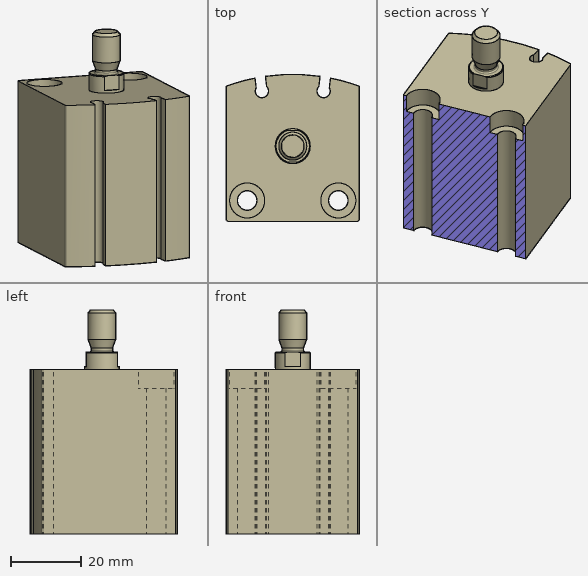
import cadquery as cq
import math

width = 38.0
depth = 42.0
height = 47.0
rod_to_crown = 20.5
crown_radius = 55.0
front_corner_chamfer = 0.5
back_corner_fillet = 0.4

half_width = width / 2
back = rod_to_crown
front = back - depth
crown_center_y = back - crown_radius
crown_corner_y = crown_center_y + math.sqrt(crown_radius**2 - half_width**2)

bolt_diameter = 5.5
counterbore_diameter = 10.0
counterbore_depth = 5.5
bolt_spacing = 26.0
bolt_to_front = 6.0

channel_diameter = 3.7
slot_neck_width = 2.95
slot_lean = 7.0
channel_x = 8.8
channel_y = back - 4.8
neck_length = 8.0

rod_diameter = 10.0
rod_edge_chamfer = 0.25
collar_height = 5.0
flat_width = 9.0
flat_start = 0.8
neck_diameter = 6.2
neck_fillet = 0.4
neck_top = 6.1
thread_start = 8.6
rod_projection = 17.0
thread_diameter = 8.0
thread_tip_diameter = 6.5
thread_tip_chamfer_height = 0.9


def make_block():
    block = (
        cq.Workplane("XY")
        .moveTo(-half_width, front)
        .lineTo(half_width, front)
        .lineTo(half_width, crown_corner_y)
        .threePointArc((0, back), (-half_width, crown_corner_y))
        .close()
        .extrude(height)
    )
    block = block.edges("|Z").edges(">Y").fillet(back_corner_fillet)
    return block.edges("|Z").edges("<Y").chamfer(front_corner_chamfer)


def cut_bolt_holes(block):
    bolt_y = front + bolt_to_front
    return (
        block.faces(">Z")
        .workplane(origin=(0, 0, height))
        .pushPoints([(side * bolt_spacing / 2, bolt_y) for side in (-1, 1)])
        .cboreHole(bolt_diameter, counterbore_diameter, counterbore_depth)
    )


def make_sensor_slot(side):
    channel = cq.Workplane("XY").circle(channel_diameter / 2).extrude(height)
    neck = (
        cq.Workplane("XY")
        .center(0, neck_length / 2)
        .rect(slot_neck_width, neck_length)
        .extrude(height)
    )
    return (
        channel.union(neck)
        .rotate((0, 0, 0), (0, 0, 1), -side * slot_lean)
        .translate((side * channel_x, channel_y, 0))
    )


def make_housing():
    block = cut_bolt_holes(make_block())
    for side in (-1, 1):
        block = block.cut(make_sensor_slot(side))
    return block


def make_rod():
    rod_radius = rod_diameter / 2
    neck_radius = neck_diameter / 2
    thread_radius = thread_diameter / 2
    fillet_middle = neck_fillet * (1 - math.sqrt(0.5))
    rod = (
        cq.Workplane("XZ")
        .lineTo(rod_radius, 0)
        .lineTo(rod_radius, collar_height - rod_edge_chamfer)
        .lineTo(rod_radius - rod_edge_chamfer, collar_height)
        .lineTo(neck_radius + neck_fillet, collar_height)
        .threePointArc(
            (neck_radius + fillet_middle, collar_height + fillet_middle),
            (neck_radius, collar_height + neck_fillet),
        )
        .lineTo(neck_radius, neck_top)
        .lineTo(thread_radius, thread_start)
        .lineTo(thread_radius, rod_projection - thread_tip_chamfer_height)
        .lineTo(thread_tip_diameter / 2, rod_projection)
        .lineTo(0, rod_projection)
        .close()
        .revolve(360, (0, 0, 0), (0, 1, 0))
    )
    for side in (-1, 1):
        waste = (
            cq.Workplane("XY", origin=(0, side * rod_diameter, flat_start))
            .rect(rod_diameter, 2 * rod_diameter - flat_width)
            .extrude(collar_height)
        )
        rod = rod.cut(waste)
    return rod.translate((0, 0, height))


housing = make_housing()
rod = make_rod()
result = cq.Compound.makeCompound([housing.val(), rod.val()])